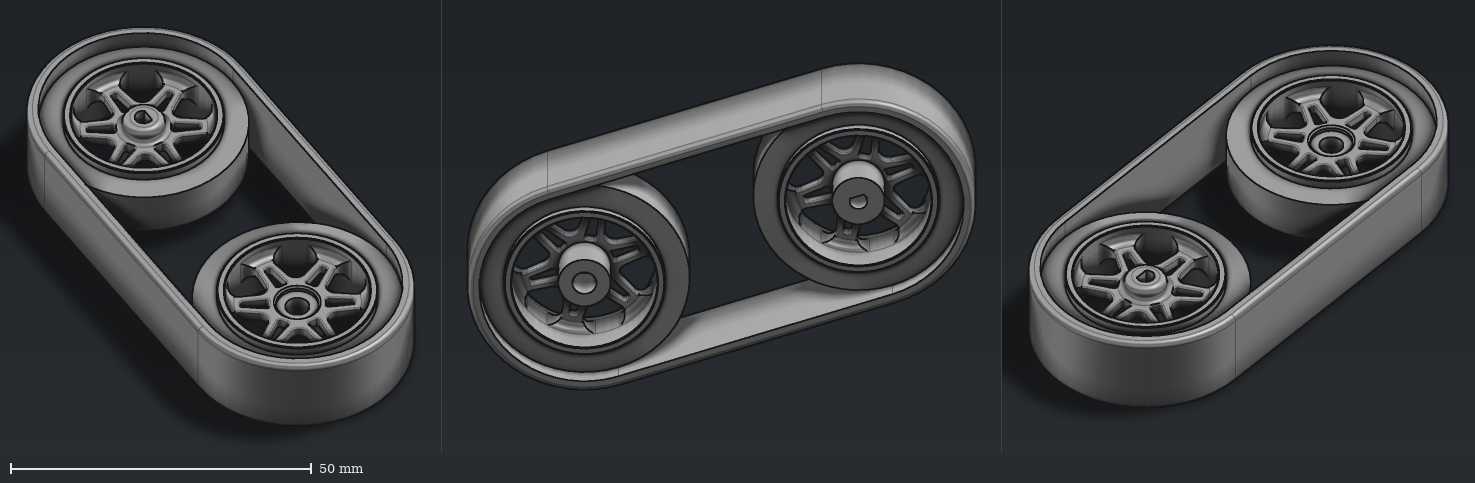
import cadquery as cq
import math

length = 87.0
belt_outer_radius = 19.5
belt_thickness = 2.0
belt_height = 14.6
belt_edge_radius = 1.0
belt_inner_radius = belt_outer_radius - belt_thickness
wheel_center_x = length / 2 - belt_outer_radius

tire_radius = belt_inner_radius
tire_height = 8.0
rim_outer_radius = 13.4
rim_inner_radius = 12.1
rim_height = 11.3
rim_edge_chamfer = 0.2

web_top = 2.8
web_thickness = 2.0
web_bottom = web_top - web_thickness
web_edge_radius = 0.3
flare_radius = 1.5
web_overlap = 1.05

spoke_count = 6
spoke_pitch = 360 / spoke_count
spoke_half_width_at_axis = 3.0
spoke_half_width_at_rim = 1.5
window_hub_corner_radius = 1.65
window_rim_corner_radius = 1.7

slot_start = 4.8
slot_end = 9.5
slot_half_width_at_hub = 1.05
slot_half_width_at_rim = 0.6
slot_corner_radius = 0.4

barrel_radius = 4.35
barrel_bottom = -rim_height / 2
boss_radius = 3.6
boss_base_fillet = 1.05
boss_top_fillet = 1.2
boss_top = 5.2
shaft_radius = 1.5
shaft_flat_offset = 0.9
axle_radius = 2.0
recess_radius = 3.6
recess_depth = 1.0
recess_chamfer = 0.35
recess_chamfer_angle = 45

arc_middle = math.sqrt(0.5)


def cylinder(radius, bottom, top):
    return cq.Workplane("XY").workplane(offset=bottom).circle(radius).extrude(top - bottom)


def ring(outer_radius, inner_radius, height):
    return cylinder(outer_radius, -height / 2, height / 2).cut(
        cylinder(inner_radius, -height / 2, height / 2)
    )


def racetrack(radius):
    outline = cq.Workplane("XY").slot2D(2 * (wheel_center_x + radius), 2 * radius)
    return outline.extrude(belt_height / 2, both=True)


def make_belt():
    outside = racetrack(belt_outer_radius).faces("|Z").edges().fillet(belt_edge_radius)
    return outside.cut(racetrack(belt_inner_radius))


def around_axis(shape):
    """The shape repeated once per spoke about the wheel axis."""
    copies = cq.Workplane("XY")
    for i in range(spoke_count):
        copies = copies.add(shape.rotate((0, 0, 0), (0, 0, 1), i * spoke_pitch))
    return copies.combine()


def make_windows():
    """Openings between the spokes, tall enough to cut the web and its flares."""
    half_pitch = math.radians(spoke_pitch / 2)
    narrowing = (spoke_half_width_at_axis - spoke_half_width_at_rim) / rim_inner_radius
    hub_corner_x = spoke_half_width_at_axis / (math.tan(half_pitch) + narrowing)
    hub_corner = (hub_corner_x, hub_corner_x * math.tan(half_pitch))
    rim_angle = math.asin(spoke_half_width_at_rim / rim_inner_radius)

    def on_rim(angle):
        return (rim_inner_radius * math.cos(angle), rim_inner_radius * math.sin(angle))

    window = (
        cq.Workplane("XY")
        .workplane(offset=-rim_height / 2)
        .moveTo(*hub_corner)
        .lineTo(*on_rim(rim_angle))
        .threePointArc(on_rim(half_pitch), on_rim(2 * half_pitch - rim_angle))
        .close()
        .extrude(rim_height)
    )
    nearest_hub = cq.NearestToPointSelector((*hub_corner, 0))
    rim_corners = window.edges("|Z").edges(cq.selectors.InverseSelector(nearest_hub))
    window = rim_corners.fillet(window_rim_corner_radius)
    window = window.edges(nearest_hub).fillet(window_hub_corner_radius)
    return around_axis(window)


def make_slots():
    slot = (
        cq.Workplane("XY")
        .workplane(offset=web_bottom)
        .polyline(
            [
                (slot_start, -slot_half_width_at_hub),
                (slot_end, -slot_half_width_at_rim),
                (slot_end, slot_half_width_at_rim),
                (slot_start, slot_half_width_at_hub),
            ]
        )
        .close()
        .extrude(web_thickness)
        .edges("|Z")
        .fillet(slot_corner_radius)
    )
    return around_axis(slot)


def make_flares():
    """Ring that widens the web into the rim with a concave arc above and below."""
    inner = rim_inner_radius - flare_radius
    outer = rim_inner_radius + web_overlap
    reach = flare_radius * arc_middle
    top = web_top + flare_radius
    bottom = web_bottom - flare_radius
    return (
        cq.Workplane("XZ")
        .moveTo(inner, web_bottom)
        .lineTo(inner, web_top)
        .threePointArc((inner + reach, top - reach), (rim_inner_radius, top))
        .lineTo(outer, top)
        .lineTo(outer, bottom)
        .lineTo(rim_inner_radius, bottom)
        .threePointArc((inner + reach, bottom + reach), (inner, web_bottom))
        .close()
        .revolve(360, (0, 0, 0), (0, 1, 0))
    )


def make_wheel_body():
    windows = make_windows()
    web = cylinder(rim_inner_radius + web_overlap, web_bottom, web_top)
    web = web.cut(windows).cut(make_slots())
    web = web.faces("|Z").edges().fillet(web_edge_radius)
    rim = ring(rim_outer_radius, rim_inner_radius, rim_height)
    rim = rim.faces("|Z").edges().chamfer(rim_edge_chamfer)
    tire = ring(tire_radius, rim_inner_radius + web_overlap, tire_height)
    barrel = cylinder(barrel_radius, barrel_bottom, web_top)
    return web.union(make_flares().cut(windows)).union(rim).union(tire).union(barrel)


def make_shaft_wheel(body):
    """Wheel with a rounded boss and a D-shaped bore."""
    fillet_top = web_top + boss_base_fillet
    base_radius = boss_radius + boss_base_fillet
    top_radius = boss_radius - boss_top_fillet
    boss = (
        cq.Workplane("XZ")
        .moveTo(0, web_top)
        .lineTo(base_radius, web_top)
        .threePointArc(
            (base_radius - boss_base_fillet * arc_middle, fillet_top - boss_base_fillet * arc_middle),
            (boss_radius, fillet_top),
        )
        .lineTo(boss_radius, boss_top - boss_top_fillet)
        .threePointArc(
            (top_radius + boss_top_fillet * arc_middle, boss_top - boss_top_fillet * (1 - arc_middle)),
            (top_radius, boss_top),
        )
        .lineTo(0, boss_top)
        .close()
        .revolve(360, (0, 0, 0), (0, 1, 0))
    )
    bore = cylinder(shaft_radius, barrel_bottom, boss_top)
    beyond_flat = (
        cq.Workplane("XY")
        .box(2 * shaft_radius, shaft_radius, rim_height, centered=(True, False, True))
        .translate((0, shaft_flat_offset, 0))
    )
    return body.union(boss).cut(bore.cut(beyond_flat))


def make_axle_wheel(body):
    """Wheel with a round bore and a chamfered bearing recess."""
    bore = cylinder(axle_radius, barrel_bottom, web_top)
    recess = cylinder(recess_radius, web_top - recess_depth, web_top)
    lead_in = recess.faces(">Z").workplane().circle(recess_radius + recess_chamfer)
    lead_in = lead_in.extrude(-recess_chamfer, combine=False, taper=recess_chamfer_angle)
    return body.cut(bore).cut(recess).cut(lead_in)


wheel_body = make_wheel_body()
shaft_wheel = make_shaft_wheel(wheel_body).translate((-wheel_center_x, 0, 0))
axle_wheel = make_axle_wheel(wheel_body).translate((wheel_center_x, 0, 0))
result = make_belt().union(shaft_wheel).union(axle_wheel)